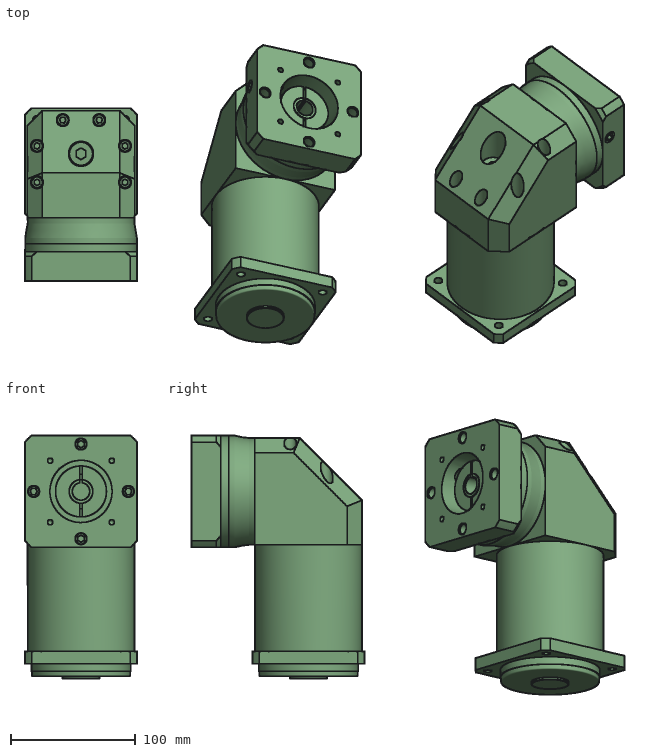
import cadquery as cq
import math


OVERLAP = 1.0

BLOCK = 86.0
HALF_BLOCK = BLOCK / 2
SLOPE_SUM = 36.0
SIDE_CHAMFER = 12.0

BLOCK_SCREW_CIRCLE = 76.5
BLOCK_SCREW_STEP = 45.0
BLOCK_SCREW_FIRST_ANGLE = -22.5
BLOCK_SCREW_COUNT = 6
BLOCK_SCREW_HOLE = 10.0
BLOCK_SCREW_HEAD = 8.7
BLOCK_SCREW_HEX = 4.5
BLOCK_SCREW_TOP = -12.0
BLOCK_SCREW_HEAD_HEIGHT = 5.0

FILLER_Y = 8.3
FILLER_HOLE = 20.0
FILLER_HEAD = 18.6
FILLER_HEX = 8.0
FILLER_TOP = 8.0
FILLER_HEAD_HEIGHT = 6.0

SOCKET_DEPTH = 3.0

FLANGE_TOP = -128.5
FLANGE_THICKNESS = 10.0
FLANGE_BOTTOM = FLANGE_TOP - FLANGE_THICKNESS
SQUARE = 90.0
CORNER_CIRCLE = 120.0
FLANGE_HOLE = 6.5
FLANGE_HOLE_CIRCLE = 100.0
PILOT = 80.0
PILOT_LENGTH = 6.0
PILOT_RELIEF = 79.2
PILOT_TOTAL = 10.0
PILOT_FILLET = 1.0
OUTPUT_BOSS = 30.0
OUTPUT_BOSS_LENGTH = 2.0
OUTPUT_BOSS_CHAMFER = 0.4

CONE_START = 47.6
CONE_END = 59.4
PLATE_NECK_FACE = 64.0
PLATE_BACK = 70.5
PLATE_FRONT = 94.0

PLATE_BACK_CORNER = 114.8
PLATE_BACK_BEVEL = 3.6
MOTOR_PILOT = 50.0
PLATE_SCREW_OFFSET = 38.0
PLATE_SCREW_MOUTH = 9.4
PLATE_SCREW_MOUTH_DEPTH = 1.5
PLATE_SCREW_HOLE = 8.6
PLATE_SCREW_DEPTH = 14.0
PLATE_SCREW_HEX = 5.0
MOTOR_HOLE = 4.2
MOTOR_HOLE_CIRCLE = 70.0
MOTOR_HOLE_DEPTH = 12.0
DRILL_POINT_ANGLE = 118.0

HUB = 41.0
HUB_FACE = 84.0
HUB_SLOT_WIDTH = 2.0
HUB_SLOT_DEPTH = 12.0
HUB_INNER_SLOT_DEPTH = 16.0
HUB_INNER_SLOT_LENGTH = 28.0
BUSHING = 19.0
BUSHING_BORE = 14.0
BUSHING_FACE = 84.5

ACCESS_PLUG = 10.0
ACCESS_PLUG_LENGTH = 8.0
ACCESS_PLUG_HEX = 6.0
ACCESS_PLUG_SOCKET = 4.0
ACCESS_Y = -78.0
ACCESS_Z = 13.8


def z_cylinder(diameter, bottom, top, x=0.0, y=0.0):
    return cq.Workplane("XY", origin=(x, y, bottom)).circle(diameter / 2).extrude(top - bottom)


def input_cylinder(diameter, near, far, x=0.0, z=0.0):
    """Cylinder parallel to the input axis, between two distances toward -Y."""
    return cq.Workplane("XZ", origin=(x, -near, z)).circle(diameter / 2).extrude(far - near)


def hex_corners(across_flats):
    return across_flats / math.cos(math.pi / 6)


def angle_block():
    break_point = SLOPE_SUM - HALF_BLOCK
    outline = [
        (-HALF_BLOCK, -HALF_BLOCK),
        (HALF_BLOCK, -HALF_BLOCK),
        (HALF_BLOCK, break_point),
        (break_point, HALF_BLOCK),
        (-HALF_BLOCK, HALF_BLOCK),
    ]
    block = cq.Workplane("YZ").polyline(outline).close().extrude(HALF_BLOCK, both=True)
    straight_edge_middle = (break_point - HALF_BLOCK) / 2
    for side in (-HALF_BLOCK, HALF_BLOCK):
        edge_middles = [
            (side, HALF_BLOCK, straight_edge_middle),
            (side, SLOPE_SUM / 2, SLOPE_SUM / 2),
            (side, straight_edge_middle, HALF_BLOCK),
        ]
        edges = [block.edges(cq.NearestToPointSelector(middle)).val() for middle in edge_middles]
        block = block.newObject(edges).chamfer(SIDE_CHAMFER)
    return block


def sunk_screw(x, y, hole, head, hex_size, turn, head_top, head_height):
    """Space around a sunk screw head: the hole above it, the gap round it and its socket."""
    above = z_cylinder(hole, head_top, HALF_BLOCK, x, y)
    gap = z_cylinder(hole, head_top - head_height, head_top, x, y).cut(
        z_cylinder(head, head_top - head_height, head_top, x, y)
    )
    socket = (
        cq.Workplane("XY", origin=(x, y, head_top - SOCKET_DEPTH))
        .transformed(rotate=(0, 0, turn))
        .polygon(6, hex_corners(hex_size))
        .extrude(SOCKET_DEPTH)
    )
    return above.union(gap).union(socket)


def output_housing():
    barrel = z_cylinder(BLOCK, FLANGE_BOTTOM, -HALF_BLOCK + OVERLAP)
    hole_square = FLANGE_HOLE_CIRCLE / math.sqrt(2)
    flange = (
        cq.Workplane("XY", origin=(0, 0, FLANGE_BOTTOM))
        .rect(SQUARE, SQUARE)
        .extrude(FLANGE_THICKNESS)
        .intersect(z_cylinder(CORNER_CIRCLE, FLANGE_BOTTOM, FLANGE_TOP))
        .cut(
            cq.Workplane("XY", origin=(0, 0, FLANGE_BOTTOM))
            .rect(hole_square, hole_square, forConstruction=True)
            .vertices()
            .circle(FLANGE_HOLE / 2)
            .extrude(FLANGE_THICKNESS)
        )
    )
    pilot = z_cylinder(PILOT, FLANGE_BOTTOM - PILOT_LENGTH, FLANGE_BOTTOM + OVERLAP)
    relief = z_cylinder(PILOT_RELIEF, FLANGE_BOTTOM - PILOT_TOTAL, FLANGE_BOTTOM)
    relief = relief.faces("<Z").fillet(PILOT_FILLET)
    return barrel.union(flange).union(pilot).union(relief)


def input_housing():
    """Round neck that widens in a cone to the motor plate, turned about the input axis."""
    profile = [
        (0, -HALF_BLOCK + OVERLAP),
        (HALF_BLOCK, -HALF_BLOCK + OVERLAP),
        (HALF_BLOCK, -CONE_START),
        (SQUARE / 2, -CONE_END),
        (SQUARE / 2, -PLATE_NECK_FACE),
        (0, -PLATE_NECK_FACE),
    ]
    return cq.Workplane("XY").polyline(profile).close().revolve(360, (0, 0, 0), (0, 1, 0))


def make_housing():
    housing = angle_block().union(output_housing()).union(input_housing())
    for index in range(BLOCK_SCREW_COUNT):
        angle = BLOCK_SCREW_FIRST_ANGLE + index * BLOCK_SCREW_STEP
        x = BLOCK_SCREW_CIRCLE / 2 * math.cos(math.radians(angle))
        y = BLOCK_SCREW_CIRCLE / 2 * math.sin(math.radians(angle))
        housing = housing.cut(
            sunk_screw(
                x, y, BLOCK_SCREW_HOLE, BLOCK_SCREW_HEAD, BLOCK_SCREW_HEX, angle,
                BLOCK_SCREW_TOP, BLOCK_SCREW_HEAD_HEIGHT,
            )
        )
    return housing.cut(
        sunk_screw(
            0, FILLER_Y, FILLER_HOLE, FILLER_HEAD, FILLER_HEX, 90,
            FILLER_TOP, FILLER_HEAD_HEIGHT,
        )
    )


def make_output_boss():
    top = FLANGE_BOTTOM - PILOT_TOTAL
    boss = z_cylinder(OUTPUT_BOSS, top - OUTPUT_BOSS_LENGTH, top)
    return boss.faces("<Z").chamfer(OUTPUT_BOSS_CHAMFER)


def plate_blank():
    """Square plate with corners turned round and bevelled at the back, on a round neck."""
    square = cq.Workplane("XZ", origin=(0, -PLATE_BACK, 0)).rect(SQUARE, SQUARE)
    square = square.extrude(PLATE_FRONT - PLATE_BACK)
    corner_profile = [
        (0, -PLATE_BACK),
        (PLATE_BACK_CORNER / 2, -PLATE_BACK),
        (CORNER_CIRCLE / 2, -PLATE_BACK - PLATE_BACK_BEVEL),
        (CORNER_CIRCLE / 2, -PLATE_FRONT),
        (0, -PLATE_FRONT),
    ]
    turned = cq.Workplane("XY").polyline(corner_profile).close().revolve(360, (0, 0, 0), (0, 1, 0))
    neck = input_cylinder(SQUARE, PLATE_NECK_FACE, PLATE_BACK + OVERLAP)
    return square.intersect(turned).union(neck)


def plate_screw_recess(angle):
    """Stepped recess over a plate screw, with the screw's hex socket in its floor."""
    x = PLATE_SCREW_OFFSET * math.cos(math.radians(angle))
    z = PLATE_SCREW_OFFSET * math.sin(math.radians(angle))
    floor = PLATE_FRONT - PLATE_SCREW_DEPTH
    mouth = input_cylinder(PLATE_SCREW_MOUTH, PLATE_FRONT - PLATE_SCREW_MOUTH_DEPTH, PLATE_FRONT, x, z)
    hole = input_cylinder(PLATE_SCREW_HOLE, floor, PLATE_FRONT, x, z)
    socket = (
        cq.Workplane("XZ", origin=(x, -floor + SOCKET_DEPTH, z))
        .transformed(rotate=(0, 0, angle))
        .polygon(6, hex_corners(PLATE_SCREW_HEX))
        .extrude(SOCKET_DEPTH)
    )
    return mouth.union(hole).union(socket)


def motor_hole(x, z):
    """Blind drilled hole with a conical drill point."""
    radius = MOTOR_HOLE / 2
    floor = -PLATE_FRONT + MOTOR_HOLE_DEPTH
    point = radius / math.tan(math.radians(DRILL_POINT_ANGLE / 2))
    profile = [(0, -PLATE_FRONT), (radius, -PLATE_FRONT), (radius, floor), (0, floor + point)]
    hole = cq.Workplane("XY").polyline(profile).close().revolve(360, (0, 0, 0), (0, 1, 0))
    return hole.translate((x, 0, z))


def access_cylinder(length):
    start = (-SQUARE / 2, ACCESS_Y, ACCESS_Z)
    return cq.Workplane("YZ", origin=start).circle(ACCESS_PLUG / 2).extrude(length)


def make_motor_plate():
    plate = plate_blank().cut(input_cylinder(MOTOR_PILOT, PLATE_NECK_FACE, PLATE_FRONT))
    for quarter in range(4):
        plate = plate.cut(plate_screw_recess(quarter * 90))
    hole_offset = MOTOR_HOLE_CIRCLE / 2 / math.sqrt(2)
    for x in (-hole_offset, hole_offset):
        for z in (-hole_offset, hole_offset):
            plate = plate.cut(motor_hole(x, z))
    return plate.cut(access_cylinder(SQUARE / 2))


def make_access_plug():
    socket = (
        cq.Workplane("YZ", origin=(-SQUARE / 2, ACCESS_Y, ACCESS_Z))
        .transformed(rotate=(0, 0, 90))
        .polygon(6, hex_corners(ACCESS_PLUG_HEX))
        .extrude(ACCESS_PLUG_SOCKET)
    )
    return access_cylinder(ACCESS_PLUG_LENGTH).cut(socket)


def make_clamp_hub():
    hub = input_cylinder(HUB, PLATE_NECK_FACE, HUB_FACE)
    hub = hub.cut(input_cylinder(BUSHING, PLATE_NECK_FACE, HUB_FACE))
    for length, depth in ((HUB, HUB_SLOT_DEPTH), (HUB_INNER_SLOT_LENGTH, HUB_INNER_SLOT_DEPTH)):
        slot = cq.Workplane("XZ", origin=(0, -HUB_FACE + depth, 0)).rect(HUB_SLOT_WIDTH, length)
        hub = hub.cut(slot.extrude(depth))
    return hub


def make_bushing():
    """Sleeve slit along its top."""
    length = BUSHING_FACE - PLATE_NECK_FACE
    bushing = input_cylinder(BUSHING, PLATE_NECK_FACE, BUSHING_FACE)
    bushing = bushing.cut(input_cylinder(BUSHING_BORE, PLATE_NECK_FACE, BUSHING_FACE))
    slit = cq.Workplane("XY").box(HUB_SLOT_WIDTH, length, BUSHING / 2, centered=(True, False, False))
    return bushing.cut(slit.translate((0, -BUSHING_FACE, 0)))


housing = make_housing()
output_boss = make_output_boss()
motor_plate = make_motor_plate()
access_plug = make_access_plug()
clamp_hub = make_clamp_hub()
bushing = make_bushing()

bodies = [housing, output_boss, motor_plate, access_plug, clamp_hub, bushing]
result = cq.Compound.makeCompound([body.solids().val() for body in bodies])